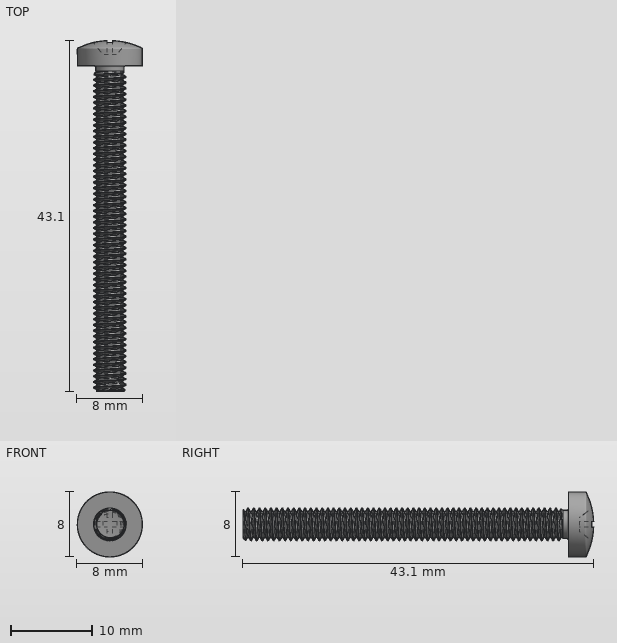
import cadquery as cq
import math

total_length = 43.05
head_diameter = 8.0
head_height = 3.1
dome_height = 0.95
rim_fillet = 0.2

thread_diameter = 4.0
root_diameter = 3.25
turns_per_shank = 57.1
flank_half_angle = 30.0
thread_phase = -55.0

neck_diameter = 3.5
neck_length = 0.65
neck_fillet = 0.2
runout_length = 0.65
tip_diameter = 3.5
tip_bevel_length = 0.5
tip_dish_diameter = 3.1
tip_dish_depth = 0.15

recess_span = 4.4
recess_wing_width = 0.7
recess_depth = 1.72
recess_floor_span = 1.72

shank_length = total_length - head_height
pitch = shank_length / turns_per_shank
crest_width = pitch / 8
head_radius = head_diameter / 2
thread_radius = thread_diameter / 2
root_radius = root_diameter / 2
neck_radius = neck_diameter / 2
tip_radius = tip_diameter / 2
overlap = 0.1


def make_head():
    """Domed disc whose inner recess corners, not its cut-away apex, reach the head height."""
    side_height = head_height - dome_height
    corner_radius = recess_wing_width / math.sqrt(2)
    dome_center = (head_height**2 + corner_radius**2 - side_height**2 - head_radius**2) / (2 * dome_height)
    apex_height = dome_center + math.hypot(corner_radius, head_height - dome_center)
    profile = (
        cq.Workplane("XZ")
        .lineTo(head_radius, 0)
        .lineTo(head_radius, side_height)
        .threePointArc((corner_radius, head_height), (0, apex_height))
        .close()
    )
    head = profile.revolve(360, (0, 0), (0, 1))
    rim = cq.selectors.BoxSelector(
        (-head_diameter, -head_diameter, side_height - rim_fillet),
        (head_diameter, head_diameter, side_height + rim_fillet),
    )
    return head.edges(rim).fillet(rim_fillet)


def make_recess():
    """Cross recess whose wings narrow towards the floor, kept straight above the head height."""
    floor = head_height - recess_depth
    cutter_top = head_height + dome_height
    wing = (
        cq.Workplane("XZ")
        .moveTo(-recess_floor_span / 2, floor)
        .lineTo(recess_floor_span / 2, floor)
        .lineTo(recess_span / 2, head_height)
        .lineTo(recess_span / 2, cutter_top)
        .lineTo(-recess_span / 2, cutter_top)
        .lineTo(-recess_span / 2, head_height)
        .close()
        .extrude(recess_wing_width / 2, both=True)
    )
    return wing.union(wing.rotate((0, 0, 0), (0, 0, 1), 90))


def make_core():
    """Thread root cylinder with the plain neck filleted into the head."""
    profile = (
        cq.Workplane("XZ")
        .lineTo(neck_radius + neck_fillet, 0)
        .radiusArc((neck_radius, -neck_fillet), -neck_fillet)
        .lineTo(neck_radius, -neck_length)
        .lineTo(root_radius, -neck_length - (neck_radius - root_radius))
        .lineTo(root_radius, -shank_length)
        .lineTo(0, -shank_length)
        .close()
    )
    return profile.revolve(360, (0, 0), (0, 1))


def make_ridge():
    """Helical thread ridge, trimmed by the run-out at the neck and the bevel at the tip."""
    base_radius = root_radius - overlap
    flank_run = (thread_radius - base_radius) * math.tan(math.radians(flank_half_angle))
    half_crest = crest_width / 2
    half_base = half_crest + flank_run
    section = [
        (base_radius, -half_base),
        (thread_radius, -half_crest),
        (thread_radius, half_crest),
        (base_radius, half_base),
    ]
    helix = cq.Wire.makeHelix(pitch, shank_length, thread_radius)
    ridge = (
        cq.Workplane("XZ")
        .polyline(section)
        .close()
        .sweep(cq.Workplane(helix), isFrenet=True)
        .rotate((0, 0, 0), (0, 0, 1), thread_phase)
        .translate((0, 0, -shank_length - pitch))
    )
    envelope_radius = thread_radius + overlap
    envelope = (
        cq.Workplane("XZ")
        .moveTo(0, -neck_length)
        .lineTo(neck_radius, -neck_length)
        .lineTo(envelope_radius, -neck_length - runout_length)
        .lineTo(envelope_radius, tip_bevel_length - shank_length)
        .lineTo(tip_radius, -shank_length)
        .lineTo(0, -shank_length)
        .close()
        .revolve(360, (0, 0), (0, 1))
    )
    return ridge.intersect(envelope)


def make_tip_dish():
    """Ball whose cap leaves a shallow hollow in the end face of the tip."""
    rim_radius = tip_dish_diameter / 2
    ball_radius = (rim_radius**2 + tip_dish_depth**2) / (2 * tip_dish_depth)
    return cq.Workplane("XY").sphere(ball_radius).translate((0, 0, tip_dish_depth - shank_length - ball_radius))


head = make_head().cut(make_recess())
shank = make_core().union(make_ridge()).cut(make_tip_dish())
result = head.union(shank).rotate((0, 0, 0), (1, 0, 0), -90)